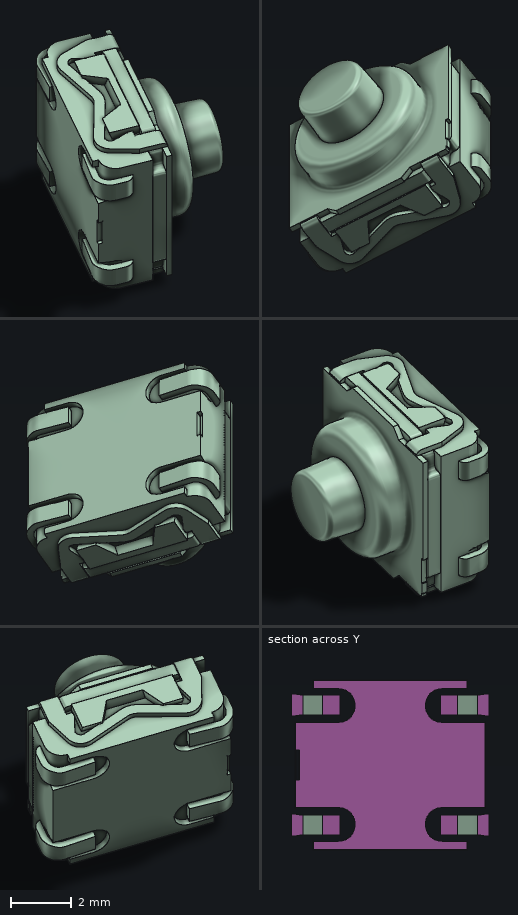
import cadquery as cq
import math

lead_half_span = 3.4
overall_height = 5.2
clip_face_z = 3.15

body_half_x = 3.155
body_half_z = 2.815
body_bottom = 0.1
body_top = 2.01

layer_half_x = 3.13
layer_neck_z = 3.08
layer_step_z = 1.95
layer_small_round = 0.14
layer_step_flat = 0.06
layer_groove_round = 0.17
layer_corner_round = 0.2
layer_neck_round = 0.135

plate_bottom = 2.5
plate_thick = 0.2
plate_top = plate_bottom + plate_thick
plate_half_x = 3.135
plate_half_z = 2.8
tongue_half_z = 3.14
tongue_half_x = 1.28
recess_depth = 0.1
recess_z = (-2.225, -1.22)
plate_tab_inset = 0.055
plate_tab_bottom = -2.65
plate_corner_inset = 0.095

arm_thick = 0.2
arm_face_z = body_half_z + arm_thick
arm_bend_radius = 0.3
arm_bend_start_y = 2.45
leg_outer_x = 2.705
leg_inner_x = 2.05
arm_hook_x = 1.83
arm_hook_y = 1.775
arm_width = 0.37
arm_slope = 20
elbow_x = 1.85
elbow_y = 0.97
elbow_outer_radius = 0.56
peak_under_radius = 0.52

clip_half_x = 1.79
clip_bottom = 0.96
clip_notch_bottom_half_x = 1.08
clip_notch_top_half_x = 0.64
clip_notch_top = 1.755
clip_notch_inner_top = 1.65
clip_undercut = 0.1

lead_center_z = 1.99
lead_width = 0.74
pad_width = 0.67
pad_end_x = 1.66
pad_end_rise = 0.055
lead_top_radius = 0.32
lead_top = 1.33
lead_thick = lead_half_span - body_half_x
lead_bend_radius = 0.645
lead_root_x = 2.855
lead_taper_x = (3.155, 2.925)
pocket_floor = 0.31
pocket_center_z = 1.97
pocket_floor_radius = 0.545
pocket_end_x = 1.15
pocket_draft = 9
corner_radius = 0.6

notch_half_z = 0.495
notch_depth = 0.13
notch_edge_y = 0.24

collar_radius = 4.725 / 2
collar_top = 3.82
collar_round = 0.395
collar_flare = 0.2
button_base_radius = 1.305
button_tip_radius = 1.265
button_round = 0.19


def on_circle(center, radius, degrees):
    """Point on a circle at the given angle."""
    angle = math.radians(degrees)
    return (center[0] + radius * math.cos(angle), center[1] + radius * math.sin(angle))


def arc_points(center, radius, start, end):
    """Middle and end point of an arc between two angles."""
    return on_circle(center, radius, (start + end) / 2), on_circle(center, radius, end)


def mirror_to_four(quarter):
    """Repeat a feature from the -X, +Z corner at all four corners."""
    half = quarter.union(quarter.mirror("YZ"))
    return half.union(half.mirror("XY"))


def make_button():
    flare_center = (collar_radius + collar_flare, plate_top + collar_flare)
    collar_center = (collar_radius - collar_round, collar_top - collar_round)
    tip_center = (button_tip_radius - button_round, overall_height - button_round)
    return (
        cq.Workplane("XY")
        .moveTo(0, plate_bottom)
        .lineTo(flare_center[0], plate_bottom)
        .lineTo(flare_center[0], plate_top)
        .threePointArc(*arc_points(flare_center, collar_flare, 270, 180))
        .lineTo(collar_radius, collar_center[1])
        .threePointArc(*arc_points(collar_center, collar_round, 0, 90))
        .lineTo(button_base_radius, collar_top)
        .lineTo(button_tip_radius, tip_center[1])
        .threePointArc(*arc_points(tip_center, button_round, 0, 90))
        .lineTo(0, overall_height)
        .close()
        .revolve(360, (0, 0, 0), (0, 1, 0))
    )


def make_plate():
    shoulder_x = tongue_half_x + tongue_half_z - plate_half_z
    tab_x = -plate_half_x + plate_tab_inset
    recess_x = -plate_half_x + recess_depth
    corner_x = -plate_half_x + plate_corner_inset
    outline = [
        (-plate_half_x, plate_half_z),
        (-shoulder_x, plate_half_z),
        (-tongue_half_x, tongue_half_z),
        (tongue_half_x, tongue_half_z),
        (shoulder_x, plate_half_z),
        (plate_half_x, plate_half_z),
        (plate_half_x, -plate_half_z),
        (shoulder_x, -plate_half_z),
        (tongue_half_x, -tongue_half_z),
        (-tongue_half_x, -tongue_half_z),
        (-shoulder_x, -plate_half_z),
        (corner_x, -plate_half_z),
        (corner_x, plate_tab_bottom),
        (tab_x, plate_tab_bottom),
        (tab_x, recess_z[0]),
        (recess_x, recess_z[0]),
        (recess_x, recess_z[1]),
        (-plate_half_x, recess_z[1]),
    ]
    return cq.Workplane("XZ", origin=(0, plate_top, 0)).polyline(outline).close().extrude(plate_thick)


def make_layer():
    """Layer with a stepped, rounded groove at each corner."""
    step_x = layer_half_x - layer_small_round
    step_z = layer_step_z + layer_small_round
    groove_center = (step_x - layer_step_flat, step_z + layer_groove_round)
    side_x = groove_center[0] - layer_groove_round
    corner_center = (side_x - layer_corner_round, body_half_z - layer_corner_round)
    neck_center = (leg_inner_x - layer_neck_round, layer_neck_z - layer_neck_round)
    quarter = (
        cq.Workplane("XZ", origin=(0, plate_bottom, 0))
        .lineTo(layer_half_x, 0)
        .lineTo(layer_half_x, layer_step_z)
        .threePointArc(*arc_points((step_x, layer_step_z), layer_small_round, 0, 90))
        .lineTo(groove_center[0], step_z)
        .threePointArc(*arc_points(groove_center, layer_groove_round, 270, 180))
        .lineTo(side_x, corner_center[1])
        .threePointArc(*arc_points(corner_center, layer_corner_round, 0, 90))
        .lineTo(leg_inner_x, body_half_z)
        .lineTo(leg_inner_x, neck_center[1])
        .threePointArc(*arc_points(neck_center, layer_neck_round, 0, 90))
        .lineTo(0, layer_neck_z)
        .close()
        .extrude(plate_bottom - body_top)
    )
    return mirror_to_four(quarter)


def make_arm():
    """W-shaped spring arm on the +Z face: the left half is drawn and mirrored."""
    slope = math.radians(arm_slope)
    elbow = (-elbow_x, elbow_y)
    elbow_inner_radius = elbow_outer_radius - arm_width
    peak_top_radius = peak_under_radius + arm_width
    radius_sum = elbow_outer_radius + peak_under_radius
    peak = (0, elbow_y + (elbow_x * math.sin(slope) - radius_sum) / math.cos(slope))
    outer_tangent = on_circle(elbow, elbow_outer_radius, 180 + arm_slope)
    leg_knee_y = outer_tangent[1] + (leg_outer_x + outer_tangent[0]) / math.tan(slope)
    inner_tangent = on_circle(elbow, elbow_inner_radius, 180 - arm_slope)
    hook_knee_y = inner_tangent[1] - (arm_hook_x + inner_tangent[0]) / math.tan(slope)
    bend_center = (arm_bend_start_y, arm_face_z - arm_bend_radius)
    bend_end = math.degrees(math.acos((plate_top - bend_center[0]) / arm_bend_radius))
    bent_side = (
        cq.Workplane("YZ")
        .moveTo(0, body_half_z)
        .lineTo(0, arm_face_z)
        .lineTo(arm_bend_start_y, arm_face_z)
        .threePointArc(*arc_points(bend_center, arm_bend_radius, 90, bend_end))
        .lineTo(plate_top, body_half_z)
        .close()
        .extrude(-leg_outer_x)
    )
    half = (
        cq.Workplane("XY", origin=(0, 0, body_half_z))
        .moveTo(-leg_inner_x, plate_top)
        .lineTo(-leg_outer_x, plate_top)
        .lineTo(-leg_outer_x, leg_knee_y)
        .lineTo(*outer_tangent)
        .threePointArc(*arc_points(elbow, elbow_outer_radius, 180 + arm_slope, 270 + arm_slope))
        .lineTo(*on_circle(peak, peak_under_radius, 90 + arm_slope))
        .threePointArc(*arc_points(peak, peak_under_radius, 90 + arm_slope, 90))
        .lineTo(0, peak[1] + peak_top_radius)
        .threePointArc(*arc_points(peak, peak_top_radius, 90, 90 + arm_slope))
        .lineTo(*on_circle(elbow, elbow_inner_radius, 270 + arm_slope))
        .threePointArc(*arc_points(elbow, elbow_inner_radius, 270 + arm_slope, 180 - arm_slope))
        .lineTo(-arm_hook_x, hook_knee_y)
        .lineTo(-arm_hook_x, arm_hook_y)
        .lineTo(-leg_inner_x, arm_hook_y)
        .close()
        .extrude(arm_thick)
        .intersect(bent_side)
    )
    return half.union(half.mirror("YZ"))


def make_clip():
    """Latch clip on the +Z face with a trapezoid notch; its underside and the notch roof slope inwards."""
    depth = clip_face_z - body_half_z
    base = cq.Workplane("XY", origin=(0, 0, body_half_z))
    clip_height = body_top - clip_bottom
    block = base.moveTo(0, clip_bottom + clip_height / 2).rect(2 * clip_half_x, clip_height).extrude(depth)
    notch_outline = [
        (-clip_notch_bottom_half_x, clip_bottom),
        (-clip_notch_top_half_x, clip_notch_top),
        (clip_notch_top_half_x, clip_notch_top),
        (clip_notch_bottom_half_x, clip_bottom),
    ]
    roof_side = [
        (clip_bottom, body_half_z),
        (clip_notch_inner_top, body_half_z),
        (clip_notch_top, clip_face_z),
        (clip_bottom, clip_face_z),
    ]
    undercut = (
        cq.Workplane("YZ")
        .polyline([
            (clip_bottom, clip_face_z),
            (clip_bottom + clip_undercut, body_half_z),
            (clip_bottom, body_half_z),
        ])
        .close()
        .extrude(clip_half_x, both=True)
    )
    notch = base.polyline(notch_outline).close().extrude(depth)
    roof = cq.Workplane("YZ").polyline(roof_side).close().extrude(clip_half_x, both=True)
    return block.cut(undercut).cut(notch.intersect(roof))


def make_lead():
    """Lead at the -X, +Z corner; the part under the body narrows to the pad width."""
    top_center = (-lead_half_span + lead_top_radius, lead_top - lead_top_radius)
    bend_center = (-lead_half_span + lead_bend_radius, lead_bend_radius)
    inner_radius = lead_bend_radius - lead_thick
    tilt = math.degrees(math.atan2(pad_end_rise, -pad_end_x - bend_center[0]))
    strip = (
        cq.Workplane("XY", origin=(0, 0, lead_center_z))
        .moveTo(-lead_root_x, lead_top)
        .lineTo(top_center[0], lead_top)
        .threePointArc(*arc_points(top_center, lead_top_radius, 90, 180))
        .lineTo(-lead_half_span, bend_center[1])
        .threePointArc(*arc_points(bend_center, lead_bend_radius, 180, 270 + tilt))
        .lineTo(-pad_end_x, pad_end_rise)
        .lineTo(-pad_end_x, pad_end_rise + lead_thick)
        .lineTo(*on_circle(bend_center, inner_radius, 270 + tilt))
        .threePointArc(*arc_points(bend_center, inner_radius, 270 + tilt, 180))
        .lineTo(-body_half_x, top_center[1])
        .lineTo(-lead_root_x, top_center[1])
        .close()
        .extrude(lead_width / 2, both=True)
    )
    taper_start, taper_end = lead_taper_x
    plan = (
        cq.Workplane("XZ", origin=(0, lead_top, lead_center_z))
        .polyline([
            (-lead_half_span, lead_width / 2),
            (-taper_start, lead_width / 2),
            (-taper_end, pad_width / 2),
            (-pad_end_x, pad_width / 2),
            (-pad_end_x, -pad_width / 2),
            (-taper_end, -pad_width / 2),
            (-taper_start, -lead_width / 2),
            (-lead_half_span, -lead_width / 2),
        ])
        .close()
        .extrude(lead_top)
    )
    return strip.intersect(plan)


def make_lead_clearance():
    """Space removed around the lead: rounded body corner and drafted round-ended pocket."""
    corner_x = -body_half_x + corner_radius
    corner_y = pocket_floor + corner_radius
    corner = (
        cq.Workplane("XY")
        .moveTo(-body_half_x, corner_y)
        .threePointArc(*arc_points((corner_x, corner_y), corner_radius, 180, 270))
        .lineTo(corner_x, body_bottom)
        .lineTo(-body_half_x, body_bottom)
        .close()
        .extrude(body_half_z)
    )
    draft = math.tan(math.radians(pocket_draft))
    wall_z = pocket_center_z - pocket_floor_radius
    wall_low_z = wall_z - draft * (pocket_floor - body_bottom)
    wall_high_z = wall_z + draft * corner_radius
    drafted_space = (
        cq.Workplane("YZ")
        .polyline([
            (body_bottom, wall_low_z),
            (corner_y, wall_high_z),
            (corner_y, body_half_z),
            (body_bottom, body_half_z),
        ])
        .close()
        .extrude(-body_half_x)
    )
    pocket_depth = pocket_floor - body_bottom
    slot_end_x = pocket_end_x + draft * pocket_depth
    slot_length = 2 * (body_half_x - slot_end_x)
    pocket = (
        cq.Workplane("XZ", origin=(-body_half_x, pocket_floor, pocket_center_z))
        .slot2D(slot_length, 2 * pocket_floor_radius)
        .extrude(pocket_depth, taper=-pocket_draft)
    )
    return corner.intersect(drafted_space).union(pocket)


def make_body():
    height = body_top - body_bottom
    block = (
        cq.Workplane("XZ", origin=(0, body_top, 0))
        .rect(2 * body_half_x, 2 * body_half_z)
        .extrude(height)
    )
    notch = (
        cq.Workplane("XY")
        .polyline([
            (body_half_x, body_bottom),
            (body_half_x, notch_edge_y),
            (body_half_x - notch_depth, notch_edge_y + notch_depth),
            (body_half_x - notch_depth, body_bottom),
        ])
        .close()
        .extrude(notch_half_z, both=True)
    )
    return block.cut(mirror_to_four(make_lead_clearance())).cut(notch)


result = make_body().union(make_layer()).union(make_plate()).union(make_button())
for z_face_feature in (make_arm(), make_clip()):
    result = result.union(z_face_feature).union(z_face_feature.mirror("XY"))
result = result.union(mirror_to_four(make_lead()))